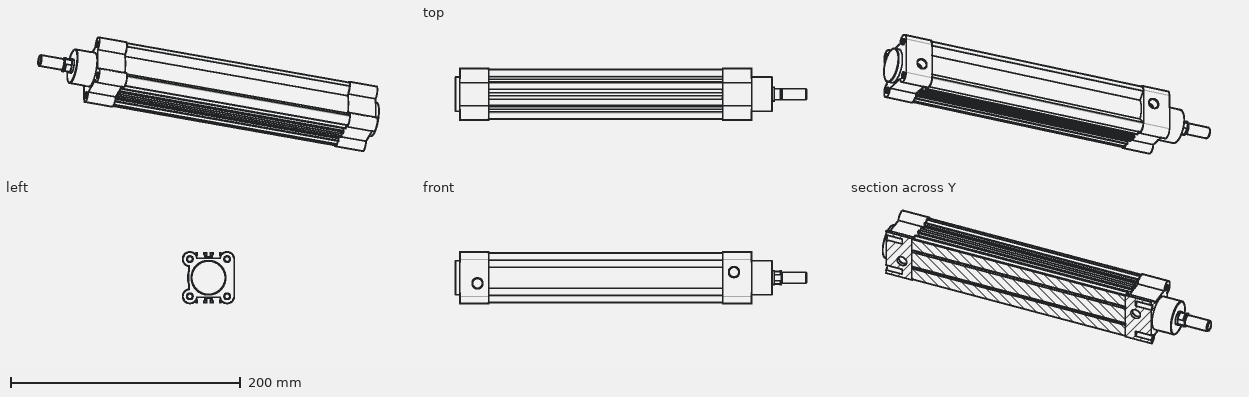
import cadquery as cq


overall_length = 306.0
spigot_length = 4.0
cap_length = 25.0
front_cap_start = 233.0
nose_end = 276.0
neck_start = 278.0
neck_end = 283.0
thread_start = 284.0

cap_side = 45.0
lobe_center = 16.2
waist_half = 17.0
spigot_radius = 15.0
nose_radius = 15.0
tie_hole_radius = 2.3
tie_hole_depth = 15.3
port_radius = 4.3
port_depth = 9.2
port_offset = 5.0
port_inset = 9.8
hole_chamfer = 0.45
rim_chamfer = 0.45

tube_half = 21.7
tube_corner_radius = 5.5
barrel_radius = 18.0
channel_half = 15.3
slot_floor = 16.8
lip_edge = 9.8
lip_land = 1.0
lip_thickness = 2.0
slot_wall = 11.0
rib_inner = 1.38
rib_outer = 4.3
rib_neck = 3.0
rib_hook_height = 1.07

rod_radius = 6.0
neck_radius = 5.5
thread_radius = 5.0
thread_chamfer = 1.0
wrench_flat_half = 5.0

rear_cap_end = spigot_length + cap_length
front_cap_end = front_cap_start + cap_length
lobe_radius = cap_side / 2 - lobe_center
tube_length = front_cap_start - rear_cap_end
corner_signs = [(sy, sz) for sy in (-1, 1) for sz in (-1, 1)]


def yz_plane(x):
    """Sketch plane across the cylinder axis: local x is Y, local y is Z."""
    return cq.Workplane("YZ", origin=(x, 0, 0))


def round_bar(start, end, radius):
    return yz_plane(start).circle(radius).extrude(end - start)


def block(x_range, y_range, z_range):
    size = [high - low for low, high in (x_range, y_range, z_range)]
    corner = (x_range[0], y_range[0], z_range[0])
    return cq.Workplane("XY", origin=corner).box(*size, centered=False)


def chamfered_hole(mouth, direction, radius, depth):
    """Cutter for a blind hole whose mouth is chamfered."""
    hole = cq.Solid.makeCylinder(radius, depth, mouth, cq.Vector(direction))
    cone = cq.Solid.makeCone(radius + hole_chamfer, radius, hole_chamfer, mouth, cq.Vector(direction))
    return cq.Workplane(hole).union(cq.Workplane(cone))


def make_cap(start, hole_face, hole_direction, port_x, port_z):
    """Cap with four round corners, flat on -Y and waisted on the other three sides."""
    end = start + cap_length
    half = cap_side / 2
    cap = block((start, end), (-waist_half, waist_half), (-waist_half, waist_half))
    cap = cap.union(block((start, end), (-half, -lobe_center), (-lobe_center, lobe_center)))
    for sy, sz in corner_signs:
        lobe = yz_plane(start).center(sy * lobe_center, sz * lobe_center)
        cap = cap.union(lobe.circle(lobe_radius).extrude(cap_length))
    for sy, sz in corner_signs:
        mouth = cq.Vector(hole_face, sy * lobe_center, sz * lobe_center)
        cap = cap.cut(chamfered_hole(mouth, (hole_direction, 0, 0), tie_hole_radius, tie_hole_depth))
    port_mouth = cq.Vector(port_x, -half, port_z)
    return cap.cut(chamfered_hole(port_mouth, (0, 1, 0), port_radius, port_depth))


def make_rear_cap():
    cap = make_cap(spigot_length, spigot_length, 1, rear_cap_end - port_inset, -port_offset)
    spigot = round_bar(0, spigot_length, spigot_radius).faces("<X").chamfer(rim_chamfer)
    return cap.union(spigot)


def make_front_cap():
    cap = make_cap(front_cap_start, front_cap_end, -1, front_cap_start + port_inset, port_offset)
    nose = round_bar(front_cap_end, nose_end, nose_radius).faces(">X").chamfer(rim_chamfer)
    return cap.union(nose)


def tube_prism(points):
    """Full-length prism of the tube from (y, z) points."""
    return yz_plane(rear_cap_end).polyline(points).close().extrude(tube_length)


def make_channel(side):
    """Wedge with 45 degree walls that opens a Y side of the tube down to the barrel."""
    bottom = tube_half - channel_half
    return tube_prism([
        (side * tube_half, -channel_half),
        (side * bottom, 0),
        (side * tube_half, channel_half),
    ])


def make_slot(sy, sz):
    """Undercut sensor slot between a corner lip and a hooked centre rib."""
    hook_end = tube_half - rib_hook_height
    hook_neck = hook_end - (rib_outer - rib_neck)
    lip_bottom = tube_half - lip_thickness
    points = [
        (rib_outer, tube_half),
        (rib_outer, hook_end),
        (rib_neck, hook_neck),
        (rib_neck, slot_floor),
        (slot_wall, slot_floor),
        (slot_wall, lip_bottom - (slot_wall - lip_edge)),
        (lip_edge, lip_bottom),
        (lip_edge, tube_half),
    ]
    return tube_prism([(sy * y, sz * z) for y, z in points])


def make_lip_groove(sy, sz):
    """Shallow V groove between a tube corner and the slot lip."""
    inner = lip_edge + lip_land
    depth = (channel_half - inner) / 2
    points = [(inner, tube_half), (inner + depth, tube_half - depth), (channel_half, tube_half)]
    return tube_prism([(sy * y, sz * z) for y, z in points])


def make_tube():
    tube = yz_plane(rear_cap_end).rect(2 * tube_half, 2 * tube_half).extrude(tube_length)
    tube = tube.edges("|X").fillet(tube_corner_radius)
    for side in (-1, 1):
        tube = tube.cut(make_channel(side))
    tube = tube.union(round_bar(rear_cap_end, front_cap_start, barrel_radius))
    for sy, sz in corner_signs:
        tube = tube.cut(make_slot(sy, sz))
        tube = tube.cut(make_lip_groove(sy, sz))
    for sz in (-1, 1):
        gap = [(-rib_inner, sz * barrel_radius), (rib_inner, sz * barrel_radius),
               (rib_inner, sz * tube_half), (-rib_inner, sz * tube_half)]
        tube = tube.cut(tube_prism(gap))
    return tube


def make_rod():
    rod = round_bar(nose_end, neck_start, rod_radius)
    rod = rod.union(round_bar(neck_start, neck_end, neck_radius))
    rod = rod.union(round_bar(neck_end, thread_start, rod_radius))
    for side in (-1, 1):
        y_range = sorted((side * wrench_flat_half, side * rod_radius))
        rod = rod.cut(block((neck_start, thread_start), y_range, (-rod_radius, rod_radius)))
    thread = round_bar(thread_start, overall_length, thread_radius).edges().chamfer(thread_chamfer)
    return rod.union(thread)


rear_cap = make_rear_cap()
tube = make_tube()
front_cap = make_front_cap()
rod = make_rod()

result = cq.Compound.makeCompound([rear_cap.val(), tube.val(), front_cap.val(), rod.val()])